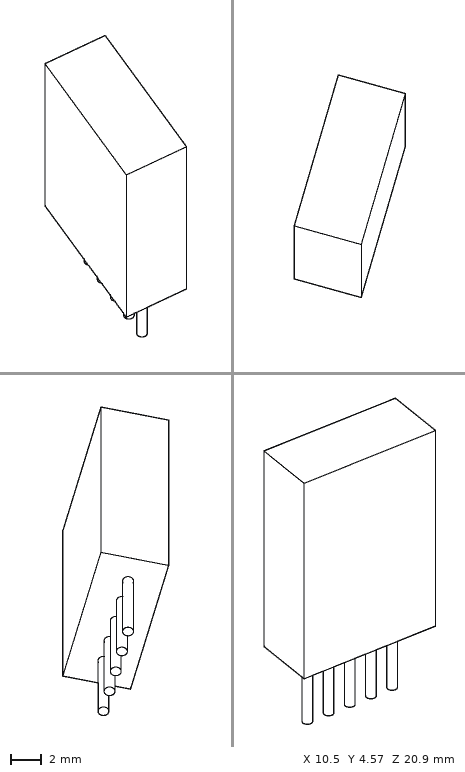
import cadquery as cq

HOUSING_WIDTH = 10.54
HOUSING_DEPTH = 4.57
HOUSING_HEIGHT = 15.55

TOTAL_HEIGHT = 20.95
PIN_COUNT = 5
PIN_PITCH = 1.7
PIN_DIAMETER = 0.71
PIN_LENGTH = TOTAL_HEIGHT - HOUSING_HEIGHT


def make_housing():
    """Plain block standing on the plane Z = 0, centred in X and Y."""
    return cq.Workplane("XY").box(
        HOUSING_WIDTH, HOUSING_DEPTH, HOUSING_HEIGHT, centered=(True, True, False)
    )


def make_pin(x):
    """Round pin hanging from the underside of the housing at the given X."""
    return cq.Workplane("XY").center(x, 0).circle(PIN_DIAMETER / 2).extrude(-PIN_LENGTH)


housing = make_housing()

first_pin_x = -PIN_PITCH * (PIN_COUNT - 1) / 2
pins = [make_pin(first_pin_x + i * PIN_PITCH) for i in range(PIN_COUNT)]

result = cq.Compound.makeCompound([housing.val(), *[pin.val() for pin in pins]])